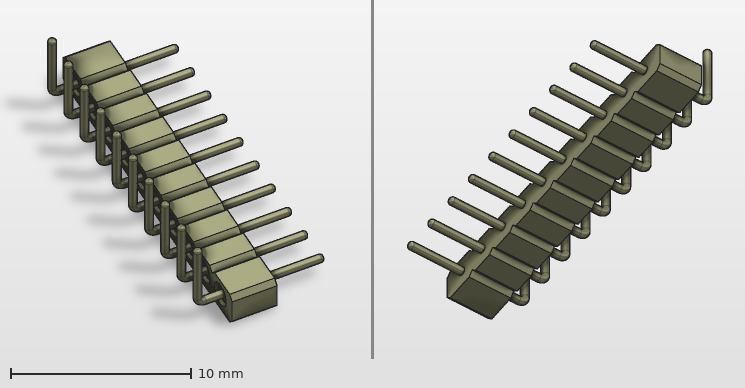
import cadquery as cq
import math

pin_count = 10
body_length = 21.0
end_margin = 1.5
pitch = (body_length - 2 * end_margin) / (pin_count - 1)
first_pin_x = -body_length / 2 + end_margin

body_depth = 2.8
body_height = 2.2
bevel = 0.32
body_front_y = -body_depth / 2
body_top_z = body_height / 2

recess_diameter = 1.47
collar_face_diameter = 1.2
collar_setback = 0.2
collar_bevel_length = 0.15

pin_diameter = 0.5
pin_radius = pin_diameter / 2
bend_radius = 0.45
tip_rounding = 0.2
overall_depth = 8.05
overall_height = 5.4
front_reach = 1.65
upright_y = body_front_y - front_reach + pin_radius
tail_end_y = body_front_y - front_reach + overall_depth
upright_top_z = overall_height - body_top_z


def make_body():
    """Bar with bevelled long corners and a V notch between neighbouring pins."""
    right_x = body_length / 2
    shoulder_z = body_top_z - bevel
    notch_centres = [first_pin_x + pitch * (i + 0.5) for i in range(pin_count - 1)]

    top_edge = [(-right_x, shoulder_z), (-right_x + bevel, body_top_z)]
    for x in notch_centres:
        top_edge += [(x - bevel, body_top_z), (x, shoulder_z), (x + bevel, body_top_z)]
    top_edge += [(right_x - bevel, body_top_z), (right_x, shoulder_z)]

    bottom_edge = [(x, -z) for x, z in reversed(top_edge)]
    profile = cq.Workplane("XZ").polyline(top_edge + bottom_edge).close()
    return profile.extrude(body_depth / 2, both=True)


def make_recess():
    """Round space in front of one collar: a short bore plus the gap beside the bevel."""
    recess_depth = collar_setback + collar_bevel_length
    floor_plane = cq.Workplane("XZ", origin=(0, body_front_y + recess_depth, 0))
    bore = floor_plane.circle(recess_diameter / 2).extrude(recess_depth)
    collar = (
        floor_plane.circle(recess_diameter / 2)
        .workplane(offset=collar_bevel_length)
        .circle(collar_face_diameter / 2)
        .loft(ruled=True)
    )
    return bore.cut(collar)


def make_pin():
    """Round wire with a straight tail, one right-angle bend and rounded tips."""
    bend_offset = bend_radius * math.sqrt(0.5)
    path = (
        cq.Workplane("YZ")
        .moveTo(tail_end_y, 0)
        .lineTo(upright_y + bend_radius, 0)
        .threePointArc(
            (upright_y + bend_radius - bend_offset, bend_radius - bend_offset),
            (upright_y, bend_radius),
        )
        .lineTo(upright_y, upright_top_z)
    )
    wire = cq.Workplane("XZ", origin=(0, tail_end_y, 0)).circle(pin_radius).sweep(path)
    wire = wire.faces(">Y").fillet(tip_rounding)
    return wire.faces(">Z").fillet(tip_rounding)


result = make_body()
recess = make_recess()
pin = make_pin()
for i in range(pin_count):
    place = (first_pin_x + pitch * i, 0, 0)
    result = result.cut(recess.translate(place)).union(pin.translate(place))